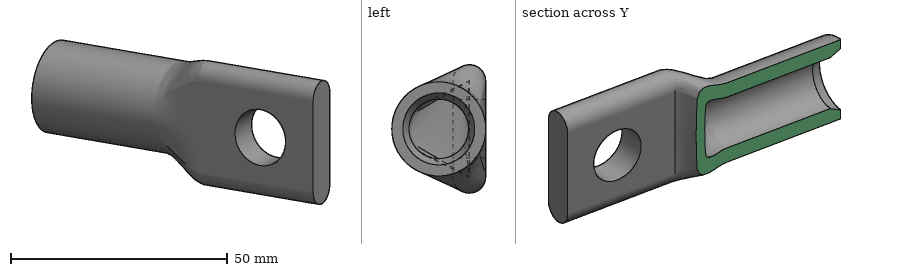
import cadquery as cq
import math

total_length = 75.45
barrel_length = 32.6
palm_start = 44.8
barrel_radius = 10.9
bore_radius = 6.9
mouth_radius = 8.3
mouth_depth = 3.0
palm_thickness = 7.6
palm_width = 29.7
hole_diameter = 13.5
hole_x = 61.25
crease_angle = 60.0
slit_half_gap = 0.1
blend_steps = 6
blend_softness = 0.8

palm_radius = palm_thickness / 2
palm_y = palm_radius - barrel_radius
palm_half_flat = palm_width / 2 - palm_radius


def circle_points(radius):
    """Crease and mid-arc points of a circle, starting at the crease nearest -Y and +Z."""
    side = crease_angle
    angles = [-side, 0, side, 90, 180 - side, 180, 180 + side, 270]
    return [
        (radius * math.sin(math.radians(a)), radius * math.cos(math.radians(a)))
        for a in angles
    ]


def slot_points(radius):
    """Matching points of a round-ended slot lying in the palm."""
    low = palm_y - radius
    high = palm_y + radius
    flat = palm_half_flat
    tip = flat + radius
    return [
        (low, flat), (palm_y, tip), (high, flat), (high, 0),
        (high, -flat), (palm_y, -tip), (low, -flat), (low, 0),
    ]


def section(x, points, straight_sides):
    """Closed wire at x made of two end arcs joined by arcs or straight sides."""
    corners = [cq.Vector(x, y, z) for y, z in points]
    edges = []
    for i in range(0, 8, 2):
        start, middle, end = corners[i], corners[i + 1], corners[(i + 2) % 8]
        is_side = i in (2, 6)
        if is_side and straight_sides:
            edges.append(cq.Edge.makeLine(start, end))
        else:
            edges.append(cq.Edge.makeThreePointArc(start, middle, end))
    return cq.Wire.assembleEdges(edges)


def flattening_loft(round_radius, slot_radius):
    """Smooth S-shaped transition from a circle to a slot."""
    round_end = circle_points(round_radius)
    flat_end = slot_points(slot_radius)
    wires = []
    for step in range(blend_steps + 1):
        t = step / blend_steps
        x = barrel_length + t * (palm_start - barrel_length)
        smooth = t * t * (3 - 2 * t)
        blend = t + blend_softness * (smooth - t)
        points = [
            (y0 + blend * (y1 - y0), z0 + blend * (z1 - z0))
            for (y0, z0), (y1, z1) in zip(round_end, flat_end)
        ]
        wires.append(section(x, points, step == blend_steps))
    return cq.Workplane(cq.Solid.makeLoft(wires))


barrel = cq.Workplane("YZ").circle(barrel_radius).extrude(barrel_length)
neck = flattening_loft(barrel_radius, palm_radius)
palm_outline = section(palm_start, slot_points(palm_radius), True)
palm_extent = cq.Vector(total_length - palm_start, 0, 0)
palm = cq.Workplane(cq.Solid.extrudeLinear(palm_outline, [], palm_extent))
body = barrel.union(neck).union(palm)

bore = cq.Workplane("YZ").circle(bore_radius).extrude(barrel_length)
mouth = cq.Workplane(
    cq.Solid.makeCone(mouth_radius, bore_radius, mouth_depth, dir=cq.Vector(1, 0, 0))
)
cavity_end = flattening_loft(bore_radius, slit_half_gap)

stud_hole = (
    cq.Workplane("XZ", origin=(hole_x, 0, 0))
    .circle(hole_diameter / 2)
    .extrude(2 * barrel_radius, both=True)
)

result = body.cut(bore).cut(mouth).cut(cavity_end).cut(stud_hole)